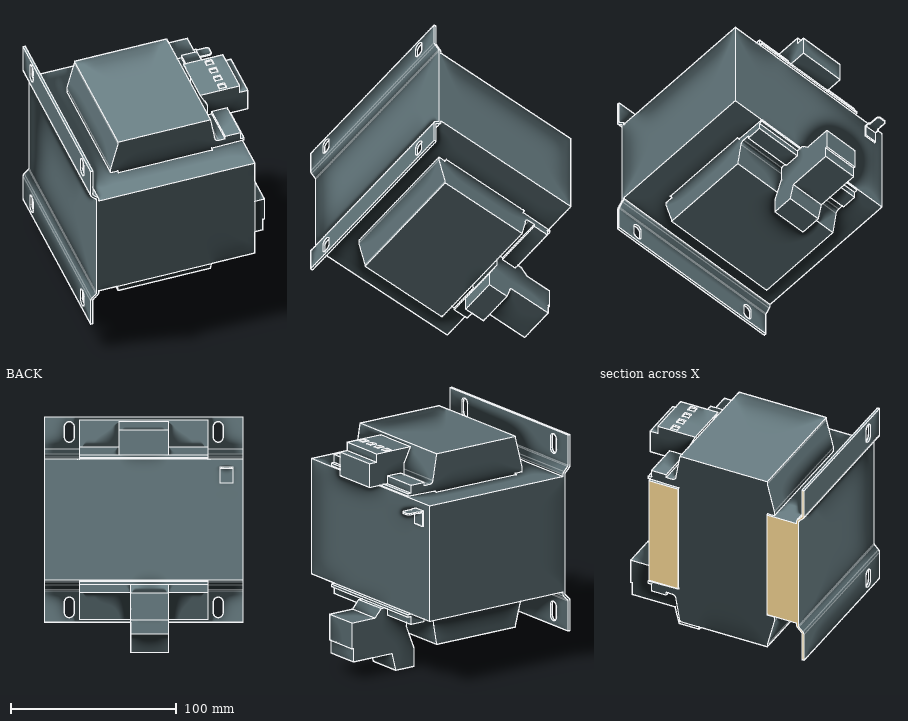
import cadquery as cq
import math


core_width = 120.0
core_depth = 100.3
core_height = 73.1
yoke = 20.0
window_front = yoke
window_back = core_depth - yoke
core_top = core_height / 2

coil_gap_to_leg = 1.1
coil_width = core_width - 2 * (yoke + coil_gap_to_leg)
coil_top = 60.35
coil_front = 15.2
coil_front_top = 20.0
coil_front_taper_start = 40.0
coil_front_taper_end = 58.8
coil_back_top = 79.4
coil_clearance = 0.5
flange_bottom = core_top + coil_clearance
lip_back = 101.0
lip_bottom = 37.5
lip_top = 39.1
rail_back = 98.8
rail_front = 88.8
rail_top = 44.0
groove_floor = 42.0
groove_front = 82.6
groove_radius = 2.4

overall_height = 142.35
sheet = 1.5
flange_offset = 3.8
bracket_half_height = 62.05
bend_start = 38.2
bend_angle = 45.0
outer_bend_radius = 2.5
inner_bend_radius = outer_bend_radius - sheet
slot_width = 5.8
slot_length = 12.3
slot_spacing_x = 90.0
slot_spacing_z = 106.0

terminal_left = -15.0
upper_terminal_width = 30.0
lower_terminal_width = 22.9
upper_terminal_front = 86.1
upper_terminal_front_top = 81.4
upper_terminal_slant_start = 49.9
upper_terminal_step = 106.8
upper_terminal_back = 112.1
upper_terminal_step_z = 54.1
upper_terminal_top = 59.3
lower_terminal_front = 84.5
lower_terminal_front_bottom = 78.7
lower_terminal_slant_start = -53.9
lower_terminal_slant_end = -68.4
lower_terminal_bottom = bracket_half_height - overall_height
lower_terminal_foot_back = 92.4
lower_terminal_foot_root = 95.2
lower_terminal_ledge_z = -69.1
lower_terminal_recess = 124.2
lower_terminal_recess_z = -60.6
lower_terminal_back = 125.3
lower_terminal_top = -44.3
lower_terminal_ramp_back = 108.0
lower_terminal_ramp_front = 103.4
screw_count = 4
screw_pitch = 7.5
screw_pocket_x = 4.0
screw_pocket_y = 4.4
screw_pocket_depth = 1.0
screw_pocket_center_y = 96.8

tab_x = -50.0
tab_sheet = 0.9
tab_base_width = 7.9
tab_blade_width = 6.3
tab_top = 31.8
tab_bottom = 22.1
tab_shoulder = 103.7
tab_tip = 111.4
tab_tip_chamfer = 1.0


def extrude_along_x(outline, x_start, width):
    """Extrude a closed list of (Y, Z) points along +X."""
    return cq.Workplane("YZ").workplane(offset=x_start).polyline(outline).close().extrude(width)


def make_core():
    window_depth = window_back - window_front
    core = cq.Workplane("XY").box(core_width, core_depth, core_height).translate((0, core_depth / 2, 0))
    window = cq.Workplane("XY").box(core_width - 2 * yoke, window_depth, core_height)
    return core.cut(window.translate((0, core_depth / 2, 0)))


def make_coil_end():
    """Upper end of the coil, with the grooved rail that carries a terminal block."""
    outline = [
        (window_front, 0),
        (window_front, flange_bottom),
        (coil_front, flange_bottom),
        (coil_front, coil_front_taper_start),
        (coil_front_top, coil_front_taper_end),
        (coil_front_top, coil_top),
        (coil_back_top, coil_top),
        (groove_front, groove_floor),
        (rail_front, groove_floor),
        (rail_front, rail_top),
        (rail_back, rail_top),
        (rail_back, lip_top),
        (lip_back, lip_top),
        (lip_back, lip_bottom),
        (window_back, flange_bottom),
        (window_back, 0),
    ]
    end = extrude_along_x(outline, -coil_width / 2, coil_width)
    groove_corner = cq.selectors.NearestToPointSelector((0, groove_front, groove_floor))
    return end.edges("|X").edges(groove_corner).fillet(groove_radius)


def make_coil():
    upper_end = make_coil_end()
    return upper_end.union(upper_end.mirror("XY"))


def make_bracket_half():
    """Upper half of the bracket: core plate, angled step and slotted flange."""
    step_height = flange_offset / math.tan(math.radians(bend_angle))
    bend_shift = sheet * math.tan(math.radians(bend_angle / 2))
    step_end = bend_start + step_height
    flange_front = -sheet - flange_offset
    flange_back = -flange_offset
    outline = [
        (0, 0),
        (0, bend_start + bend_shift),
        (flange_back, step_end + bend_shift),
        (flange_back, bracket_half_height),
        (flange_front, bracket_half_height),
        (flange_front, step_end),
        (-sheet, bend_start),
        (-sheet, 0),
    ]
    half = extrude_along_x(outline, -core_width / 2, core_width)
    bends = [
        (0, bend_start + bend_shift, outer_bend_radius),
        (flange_front, step_end, outer_bend_radius),
        (-sheet, bend_start, inner_bend_radius),
        (flange_back, step_end + bend_shift, inner_bend_radius),
    ]
    for y, z, radius in bends:
        bend = cq.selectors.NearestToPointSelector((0, y, z))
        half = half.edges("|X").edges(bend).fillet(radius)
    slots = (
        cq.Workplane("XZ", origin=(0, 0, slot_spacing_z / 2))
        .pushPoints([(-slot_spacing_x / 2, 0), (slot_spacing_x / 2, 0)])
        .slot2D(slot_length, slot_width, 90)
        .extrude(sheet + flange_offset)
    )
    return half.cut(slots)


def make_bracket():
    upper_half = make_bracket_half()
    return upper_half.union(upper_half.mirror("XY"))


def make_upper_terminal():
    outline = [
        (upper_terminal_front, groove_floor),
        (upper_terminal_front, upper_terminal_slant_start),
        (upper_terminal_front_top, upper_terminal_top),
        (upper_terminal_step, upper_terminal_top),
        (upper_terminal_step, upper_terminal_step_z),
        (upper_terminal_back, upper_terminal_step_z),
        (upper_terminal_back, lip_top),
        (rail_back, lip_top),
        (rail_back, rail_top),
        (rail_front, rail_top),
        (rail_front, groove_floor),
    ]
    block = extrude_along_x(outline, terminal_left, upper_terminal_width)
    pockets = (
        cq.Workplane("XY", origin=(0, screw_pocket_center_y, upper_terminal_top))
        .rarray(screw_pitch, 1, screw_count, 1)
        .rect(screw_pocket_x, screw_pocket_y)
        .extrude(-screw_pocket_depth)
    )
    return block.cut(pockets)


def make_lower_terminal():
    outline = [
        (lower_terminal_front, -groove_floor),
        (lower_terminal_front, lower_terminal_slant_start),
        (lower_terminal_front_bottom, lower_terminal_slant_end),
        (lower_terminal_front_bottom, lower_terminal_bottom),
        (lower_terminal_foot_back, lower_terminal_bottom),
        (lower_terminal_foot_root, lower_terminal_ledge_z),
        (lower_terminal_recess, lower_terminal_ledge_z),
        (lower_terminal_recess, lower_terminal_recess_z),
        (lower_terminal_back, lower_terminal_recess_z),
        (lower_terminal_back, lower_terminal_top),
        (lower_terminal_ramp_back, lower_terminal_top),
        (lower_terminal_ramp_front, -lip_top),
        (rail_back, -lip_top),
        (rail_back, -rail_top),
        (rail_front, -rail_top),
        (rail_front, -groove_floor),
    ]
    return extrude_along_x(outline, terminal_left, lower_terminal_width)


def make_earth_tab():
    """L-shaped tab: a leg flat on the back of the core and a blade pointing along +Y."""
    leg = extrude_along_x(
        [
            (core_depth, tab_bottom),
            (core_depth, tab_top),
            (core_depth + tab_sheet, tab_top),
            (core_depth + tab_sheet, tab_bottom),
        ],
        tab_x - tab_base_width / 2,
        tab_base_width,
    )
    half_base = tab_base_width / 2
    half_blade = tab_blade_width / 2
    blade = (
        cq.Workplane("XY", origin=(tab_x, 0, tab_top))
        .moveTo(-half_base, core_depth)
        .lineTo(-half_base, tab_shoulder)
        .lineTo(-half_blade, tab_shoulder)
        .lineTo(-half_blade, tab_tip - tab_tip_chamfer)
        .lineTo(-half_blade + tab_tip_chamfer, tab_tip)
        .lineTo(half_blade - tab_tip_chamfer, tab_tip)
        .lineTo(half_blade, tab_tip - tab_tip_chamfer)
        .lineTo(half_blade, tab_shoulder)
        .lineTo(half_base, tab_shoulder)
        .lineTo(half_base, core_depth)
        .close()
        .extrude(-tab_sheet)
    )
    return leg.union(blade)


result = (
    make_core()
    .union(make_coil())
    .union(make_bracket())
    .union(make_upper_terminal())
    .union(make_lower_terminal())
    .union(make_earth_tab())
)